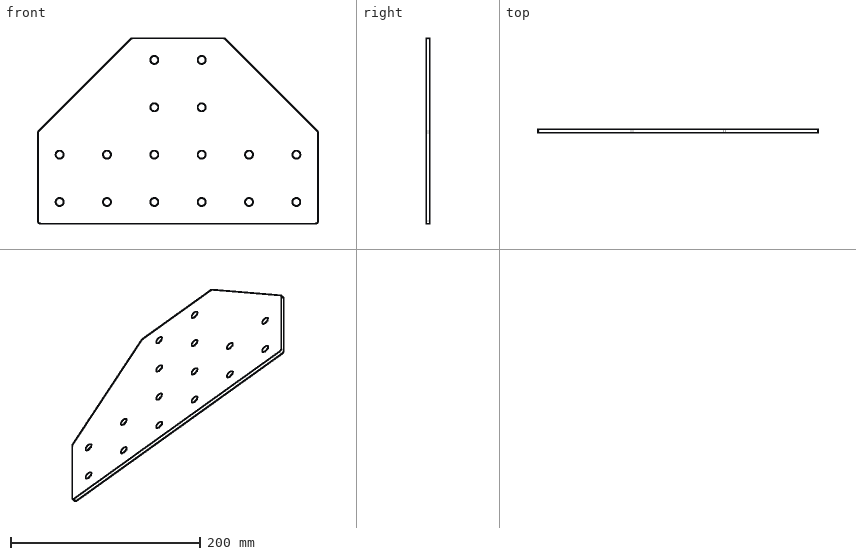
import cadquery as cq
import math

thickness = 4.0
hole_pitch = 50.0
edge_margin = 23.0
hole_diameter = 8.2
corner_radius = 3.0
base_columns = 6
base_rows = 2
stem_columns = 2
stem_rows = 2

width = (base_columns - 1) * hole_pitch + 2 * edge_margin
height = (base_rows + stem_rows - 1) * hole_pitch + 2 * edge_margin

slope_angle = 45.0
corner_setback = corner_radius * math.tan(math.radians(slope_angle / 2))
top_flat_width = (stem_columns - 1) * hole_pitch + 2 * edge_margin
side_flat_height = (base_rows - 1) * hole_pitch + 2 * edge_margin

bottom = -height / 2
top = height / 2
side = width / 2
shoulder = bottom + side_flat_height + corner_setback
top_corner = top_flat_width / 2 + corner_setback


def make_plate():
    """T-joint plate with sloped shoulders, centred on the origin and rounded at its corners."""
    outline = [
        (-side, bottom),
        (side, bottom),
        (side, shoulder),
        (top_corner, top),
        (-top_corner, top),
        (-side, shoulder),
    ]
    back_face = cq.Workplane("XZ", origin=(0, thickness / 2, 0))
    plate = back_face.polyline(outline).close().extrude(thickness)
    return plate.edges("|Y").fillet(corner_radius)


def row_of_holes(columns, row):
    """Centres of one row of holes, spread evenly about the middle of the plate."""
    z = bottom + edge_margin + row * hole_pitch
    return [((column - (columns - 1) / 2) * hole_pitch, z) for column in range(columns)]


def hole_centres():
    """Wide rows along the base, narrow rows up the stem."""
    centres = []
    for row in range(base_rows):
        centres += row_of_holes(base_columns, row)
    for row in range(base_rows, base_rows + stem_rows):
        centres += row_of_holes(stem_columns, row)
    return centres


def make_hole_cutters():
    """Cylinders that pass right through the plate at every hole centre."""
    cutters = cq.Workplane("XZ").pushPoints(hole_centres()).circle(hole_diameter / 2)
    return cutters.extrude(thickness, both=True)


result = make_plate().cut(make_hole_cutters())